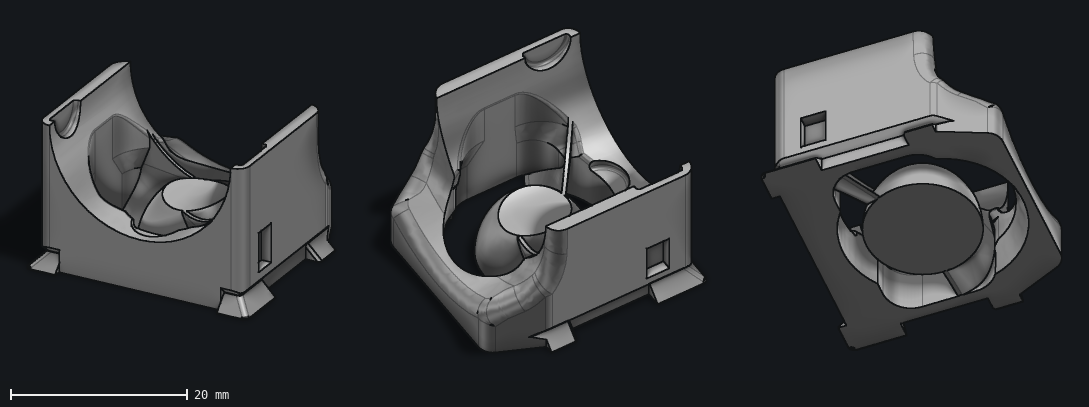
import cadquery as cq
import math

half_width = 13.35
foot_reach = 1.0
height = 18.2
rear_y = 13.25

bore_radius = 11.7
front_edge_radius = 1.58

taper_start_y = 6.43
taper_angle = 23.3
rear_half_width = half_width - (rear_y - taper_start_y) * math.tan(math.radians(taper_angle))
rear_corner_radius = 1.95
taper_corner_radius = 2.07

wall_end_y = 5.85
deck_radius = 17.22
deck_slope = 12.5
deck_low_z = 6.0
deck_blend_radius = 3.45
deck_edge_radius = 1.9

chamber_half_width = 10.9
chamber_front_y = -9.82
chamber_rear_y = 5.75
chamber_corner_radius = 5.75
throat_front_y = -7.75
throat_corner_radius = 3.45
throat_z = 5.75
chamber_z = 8.6
chamber_edge_radius = 0.57
front_duct_radius = 9.7
front_duct_top_z = 7.32
rear_duct_radius = 8.3
rear_duct_y = 2.47
rear_flare_width = 1.44
rear_flare_height = 3.45

hub_radius = 6.85
hub_flank_radius = 9.55
vane_thickness = 0.52
vane_inner_x = -2.3
vane_outer_x = -12.05
vane_top_z = 12.92
vane_inner_top_y = 3.8
vane_outer_top_y = 5.88
vane_inner_foot_y = 0.05
vane_outer_foot_y = 0.7
vane_bend_z = 6.3
vane_turn = 155.0

recess_radius = 3.07
recess_y = -9.05
recess_floor_radius = 12.48
recess_floor_fillet = 0.4

slot_front_y = -9.67
slot_length = 3.0
slot_low_z = 3.93
slot_height = 4.95
slot_depth = 1.3

groove_top_z = 2.85
groove_depth = 0.92
groove_low_z = groove_top_z - groove_depth
foot_rim = 0.11
foot_corner_radius = 0.8
front_foot_width = 3.9
front_foot_length = 6.85
rear_foot_front_y = 3.1
rear_foot_rear_y = 6.7
rear_foot_chamfer = 0.35
foot_overlap = 0.15


def block(x0, x1, y0, y1, z0, z1):
    return cq.Workplane("XY").box(x1 - x0, y1 - y0, z1 - z0, centered=False).translate((x0, y0, z0))


def rounded_rectangle(front, rear, half, radius, z, rise):
    return (
        cq.Workplane("XY", origin=(0, (front + rear) / 2, z))
        .rect(2 * half, rear - front)
        .extrude(rise)
        .edges("|Z")
        .fillet(radius)
    )


def make_outline():
    body = (
        cq.Workplane("XY")
        .polyline([
            (-half_width, -half_width),
            (half_width, -half_width),
            (half_width, taper_start_y),
            (rear_half_width, rear_y),
            (-rear_half_width, rear_y),
            (-half_width, taper_start_y),
        ])
        .close()
        .extrude(height)
    )
    body = body.edges("|Z and <Y").fillet(front_edge_radius)
    body = body.edges("|Z and >Y").fillet(rear_corner_radius)
    corner = cq.selectors.BoxSelector((-17.22, taper_start_y - 0.3, -0.3), (17.22, taper_start_y + 0.3, height + 0.3))
    return body.edges("|Z").edges(corner).fillet(taper_corner_radius)


def make_deck_cutter():
    """Everything above the sloping scoop behind the side walls."""
    length = 3 * half_width
    axis_z = deck_low_z + deck_radius
    scoop = (
        cq.Workplane("XZ")
        .moveTo(-deck_radius, 0)
        .threePointArc((0, -deck_radius), (deck_radius, 0))
        .lineTo(deck_radius, 2 * height)
        .lineTo(-deck_radius, 2 * height)
        .close()
        .extrude(length / 2, both=True)
        .rotate((0, 0, 0), (1, 0, 0), -deck_slope)
        .translate((0, wall_end_y, axis_z))
    )
    cutter = scoop.intersect(block(-17.22, 17.22, wall_end_y, 28.7, 0, 25.83))
    return cutter.faces("<Y").edges("<Z").fillet(deck_blend_radius)


def round_deck_edges(body):
    """Round the outer rim of the scoop and the rear edges of the side walls."""
    box = cq.selectors.BoxSelector
    left = box((-half_width - 0.3, wall_end_y, groove_top_z), (-rear_half_width + 1.44, rear_y + 0.3, height - 0.3))
    right = box((rear_half_width - 1.44, wall_end_y, groove_top_z), (half_width + 0.3, rear_y + 0.3, height - 0.3))
    rear = box((-0.3, rear_y - 0.3, 0.3), (0.3, rear_y + 0.3, height - 0.3))
    return body.edges("not |Z").edges(left + right + rear).fillet(deck_edge_radius)


def make_bore():
    length = 4 * half_width
    return cq.Workplane("XZ", origin=(0, length / 2, height)).circle(bore_radius).extrude(length)


def make_chamber():
    """Rounded upper chamber, sloping floor, squarish throat and round ducts."""
    rear = chamber_rear_y
    upper = rounded_rectangle(
        chamber_front_y, rear, chamber_half_width, chamber_corner_radius, chamber_z, height - chamber_z
    )
    throat = rounded_rectangle(throat_front_y, rear, chamber_half_width, throat_corner_radius, 0, throat_z)
    slope = cq.Workplane(
        cq.Solid.makeLoft([
            throat.faces(">Z").wires().val(),
            upper.faces("<Z").wires().val(),
        ], True)
    )
    front_duct = cq.Workplane("XY").circle(front_duct_radius).extrude(front_duct_top_z)
    rear_duct = (
        cq.Workplane("XY")
        .center(0, rear_duct_y)
        .circle(rear_duct_radius)
        .extrude(height)
    )
    rear_flare = (
        cq.Workplane("XY")
        .center(0, rear_duct_y)
        .circle(rear_duct_radius + rear_flare_width)
        .extrude(rear_flare_height, taper=math.degrees(math.atan2(rear_flare_width, rear_flare_height)))
    )
    return throat.union(slope).union(upper).union(front_duct).union(rear_duct).union(rear_flare)


def make_recesses():
    """Three round recesses sunk radially into the bore: both sides and the bottom."""
    plug = (
        cq.Workplane("XY")
        .circle(recess_radius)
        .extrude(-recess_floor_radius)
        .faces("<Z")
        .edges()
        .fillet(recess_floor_fillet)
    )
    recesses = plug
    for angle in (-90, 90):
        recesses = recesses.union(plug.rotate((0, 0, 0), (0, 1, 0), angle))
    return recesses.translate((0, recess_y, height))


def lies_on_bore(edge):
    return all(
        math.isclose(math.hypot(point.x, point.z - height), bore_radius, abs_tol=0.005)
        for point in edge.positions((0.1, 0.5, 0.9))
    )


def round_chamber_edges(body):
    """Soften the rim where the chamber breaks through the bore."""
    rim = cq.selectors.BoxSelector(
        (-chamber_half_width, chamber_front_y, height - bore_radius),
        (chamber_half_width, wall_end_y, height - 0.3),
    )
    return body.edges(rim).filter(lies_on_bore).fillet(chamber_edge_radius)


def make_hub():
    """Ogive that stands upright at the base and curves in towards its axis."""
    tip_z = math.sqrt(hub_flank_radius**2 - (hub_flank_radius - hub_radius) ** 2)
    half_angle = math.asin(tip_z / hub_flank_radius) / 2
    middle = (
        hub_radius - hub_flank_radius + hub_flank_radius * math.cos(half_angle),
        hub_flank_radius * math.sin(half_angle),
    )
    return (
        cq.Workplane("XZ")
        .lineTo(hub_radius, 0)
        .threePointArc(middle, (0, tip_z))
        .close()
        .revolve(360, (0, 0, 0), (0, 1, 0))
    )


def vane_section(x, top_y, foot_y):
    """Closed vane outline in the YZ plane at the given x."""
    lean = top_y - foot_y
    bend_radius = (lean**2 + vane_bend_z**2) / (2 * lean)
    half_angle = math.asin(vane_bend_z / bend_radius) / 2
    mid_drop = bend_radius * math.sin(half_angle)
    mid_lean = bend_radius * (1 - math.cos(half_angle))
    back_y = top_y - vane_thickness
    return (
        cq.Workplane("YZ", origin=(x, 0, 0))
        .moveTo(top_y, vane_top_z)
        .lineTo(top_y, vane_bend_z)
        .threePointArc((top_y - mid_lean, vane_bend_z - mid_drop), (foot_y, 0))
        .lineTo(foot_y - vane_thickness, 0)
        .threePointArc((back_y - mid_lean, vane_bend_z - mid_drop), (back_y, vane_bend_z))
        .lineTo(back_y, vane_top_z)
        .close()
        .wire()
        .val()
    )


def make_vanes():
    inner = vane_section(vane_inner_x, vane_inner_top_y, vane_inner_foot_y)
    outer = vane_section(vane_outer_x, vane_outer_top_y, vane_outer_foot_y)
    vane = cq.Workplane(cq.Solid.makeLoft([inner, outer], True))
    return vane.union(vane.rotate((0, 0, 0), (0, 0, 1), vane_turn))


def cut_slots(body):
    slot = block(0, slot_depth, 0, slot_length, 0, slot_height)
    for x in (-half_width, half_width - slot_depth):
        body = body.cut(slot.translate((x, slot_front_y, slot_low_z)))
    return body


def make_groove_cutter():
    """Undercut along both sides, turning the front corners, with a 45 degree roof."""
    outer = 2 * half_width
    inset = half_width - groove_depth
    ring = block(-outer, outer, -outer, outer, 0, groove_top_z)
    core = (
        block(-inset, inset, -inset, outer, 0, groove_low_z)
        .faces(">Z")
        .wires()
        .toPending()
        .workplane()
        .extrude(groove_depth, taper=-45)
    )
    front_middle = half_width + foot_reach - front_foot_width
    keep = block(-front_middle, front_middle, -outer, outer, 0, groove_top_z)
    return ring.cut(core).cut(keep)


def flared_plinth(corner_radius):
    """Square plinth with a thin upright rim and sides leaning in at 45 degrees."""
    reach = half_width + foot_reach
    rim = block(-reach, reach, -reach, reach, 0, foot_rim)
    plinth = rim.faces(">Z").wires().toPending().workplane().extrude(groove_low_z - foot_rim, taper=45)
    return plinth.edges("not(#Z)").fillet(corner_radius)


def make_feet(outline):
    reach = half_width + foot_reach
    inset = half_width - groove_depth - foot_overlap
    front_inner = reach - front_foot_width
    plinth = flared_plinth(foot_corner_radius)
    front_foot = plinth.intersect(
        block(-reach, -front_inner, -reach, -reach + front_foot_length, 0, groove_low_z)
    )
    rear_foot = plinth.intersect(
        block(-reach, -inset, rear_foot_front_y, rear_foot_rear_y, 0, groove_low_z)
    )
    sloping_front_edge = cq.selectors.BoxSelector(
        (-reach - 0.3, rear_foot_front_y - 0.03, foot_rim + 0.03),
        (-inset - 0.03, rear_foot_front_y + 0.03, groove_low_z - 0.03),
    )
    rear_foot = rear_foot.edges(sloping_front_edge).chamfer(rear_foot_chamfer)
    rear_tip = plinth.intersect(outline).intersect(
        block(-reach, -inset, rear_foot_rear_y, reach, 0, groove_low_z)
    )
    feet = front_foot.union(rear_foot).union(rear_tip)
    return feet.union(feet.mirror("YZ"))


outline = make_outline()
bore = make_bore()
chamber = make_chamber()
body = round_deck_edges(outline.cut(make_deck_cutter()))
body = body.cut(make_groove_cutter()).union(make_feet(outline))
body = round_chamber_edges(body.cut(bore).cut(chamber))
core = make_hub().union(make_vanes().intersect(outline)).cut(bore)
body = body.union(core)
body = body.cut(make_recesses())
result = cut_slots(body)